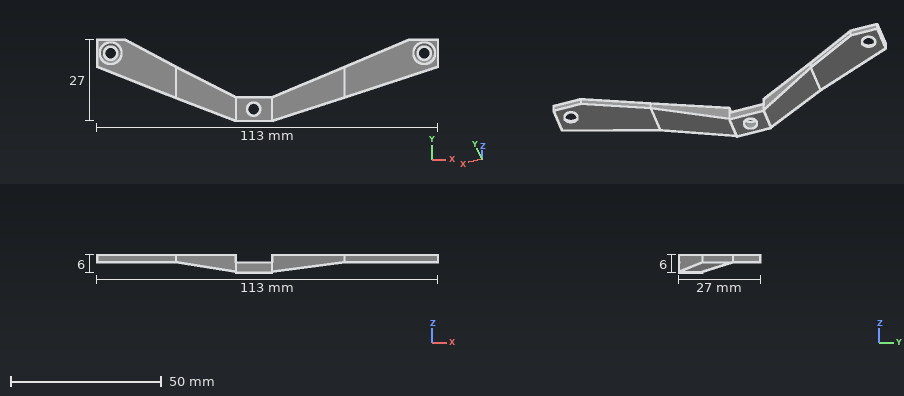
import cadquery as cq

length = 113.0
depth = 27.0
height = 6.0

block_left = 46.0
block_right = 58.0
block_depth = 7.9
block_thickness = 3.5
block_hole_x = 51.9

plate_thickness = 2.5
wedge_bottom = 0.3
left_joint = 26.2
right_joint = 82.0
end_edge = 9.0
left_corner = 9.3
right_corner = 103.4
joint_back = 18.0
left_joint_front = 7.6
right_joint_front = 7.8

hole_diameter = 4.3
countersink_diameter = 7.2
left_hole_x = 4.5
right_hole_x = 108.4
end_hole_y = depth - 4.5

plate_bottom = height - plate_thickness


def make_centre_block():
    """Rectangular block with a plain through hole."""
    width = block_right - block_left
    block = (
        cq.Workplane("XY")
        .box(width, block_depth, block_thickness, centered=False)
        .translate((block_left, 0, 0))
    )
    hole = (
        cq.Workplane("XY")
        .center(block_hole_x, block_depth / 2)
        .circle(hole_diameter / 2)
        .extrude(block_thickness)
    )
    return block.cut(hole)


def make_wedge(joint_x, joint_front, block_x):
    """Arm segment with a flat top and an underside that slopes down to the block."""
    plan = (
        cq.Workplane("XY")
        .polyline([(joint_x, joint_front), (joint_x, joint_back), (block_x, block_depth), (block_x, 0)])
        .close()
        .extrude(height)
    )
    side_profile = (
        cq.Workplane("XZ")
        .polyline([(joint_x, plate_bottom), (joint_x, height), (block_x, height), (block_x, wedge_bottom)])
        .close()
        .extrude(-depth)
    )
    return plan.intersect(side_profile)


def make_end_plate(end_x, corner_x, joint_x, joint_front, hole_x):
    """Flat arm end whose hole tapers from the countersink at the top to the bottom face."""
    plate = (
        cq.Workplane("XY", origin=(0, 0, plate_bottom))
        .polyline([
            (end_x, depth - end_edge),
            (end_x, depth),
            (corner_x, depth),
            (joint_x, joint_back),
            (joint_x, joint_front),
        ])
        .close()
        .extrude(plate_thickness)
    )
    hole = cq.Solid.makeCone(
        hole_diameter / 2,
        countersink_diameter / 2,
        plate_thickness,
        pnt=cq.Vector(hole_x, end_hole_y, plate_bottom),
    )
    return plate.cut(cq.Workplane(hole))


centre_block = make_centre_block()

wedges = [
    make_wedge(left_joint, left_joint_front, block_left),
    make_wedge(right_joint, right_joint_front, block_right),
]

end_plates = [
    make_end_plate(0, left_corner, left_joint, left_joint_front, left_hole_x),
    make_end_plate(length, right_corner, right_joint, right_joint_front, right_hole_x),
]

result = cq.Compound.makeCompound([
    centre_block.val().Solids()[0],
    *[wedge.val().Solids()[0] for wedge in wedges],
    *[plate.val().Solids()[0] for plate in end_plates],
])